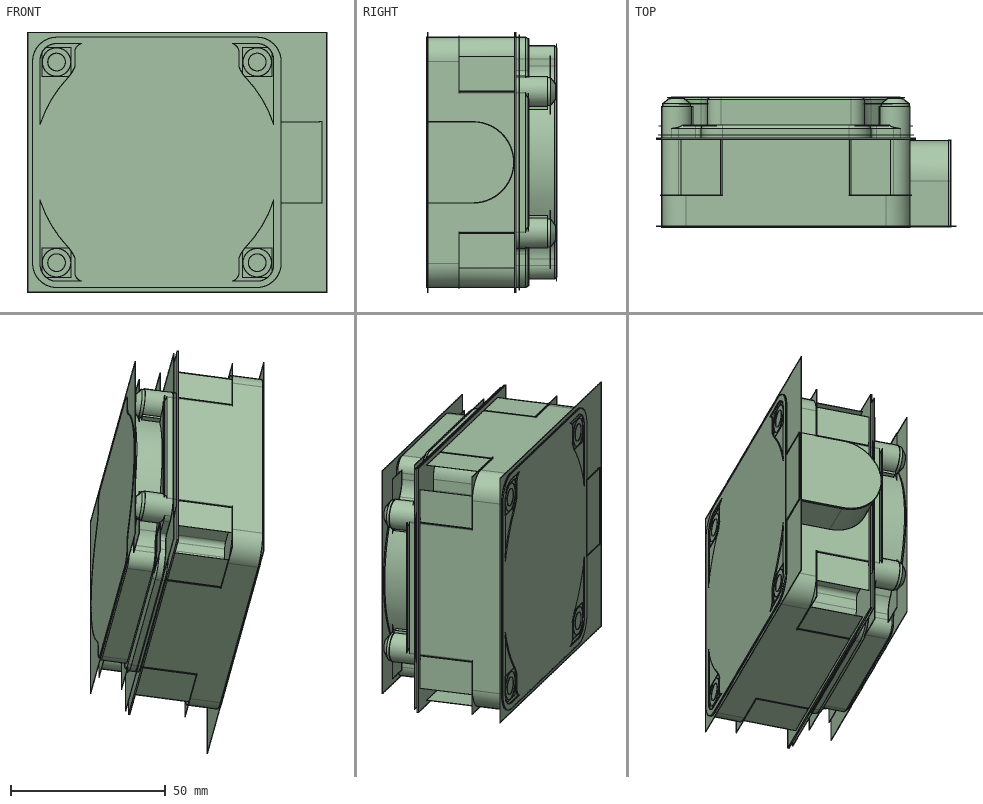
import cadquery as cq
import math


housing_width = 80.4
housing_height = 81.0
half_width = housing_width / 2
half_height = housing_height / 2
front_radius = 7.8
front_depth = 10.5
flange_start = 28.5
flange_end = 29.0

connector_reach = 13.2
connector_width = 26.2
connector_start = 0.2
connector_depth = 28.2
lid_thickness = 0.8
lid_overhang = 0.1

sheet_thickness = 0.1
plate_margin = 1.6
plate_height = 84.1
front_plate_y = 0.4
seal_y = 29.9
seal_size = 82.5
rear_sheet_y = 42.0
rear_sheet_size = 76.7
cap_sheet_y = 40.0
cap_sheet_size = 68.8
core_sheet_y = 32.8
tall_sheet_width = 66.3
tall_sheet_height = 79.4
wide_sheet_width = 82.0
wide_sheet_height = 44.6

pocket_wall_x = 2.4
pocket_wall_z = 2.0
pocket_ring_radius = 39.7
pocket_inner_x = 26.5
pocket_flare_x = 24.4
pocket_flare_z = 36.1
pocket_bend_z = 30.9
pocket_bend_end_x = 28.7
pocket_bend_middle = (27.3, 29.4)
pocket_flare_middle = (25.9, 37.5)
pocket_corner_radius = front_radius - pocket_wall_x

panel_start_x = 20.6
panel_start_z = 22.8
corner_opening = 6.3
panel_thickness = 0.03
corner_plate_overhang = 0.4

pad_offset = 32.45
pad_size = 9.5
ring_diameter = 9.2
ring_hole_diameter = 5.7
pad_step = 0.1

core_end = 33.1
core_half_width = 27.5
core_arm_half_height = 27.9
core_corner_radius = 7.1
core_arm_radius = 5.4
core_inner_radius = 1.7
core_edge_depth = 1.1
core_edge_inset = 0.6

body_end = 42.2
body_radius = 37.8
body_half_width = 25.4
body_corner_radius = 4.4
body_inner_radius = 7.75
body_edge_chamfer = 0.8

post_radius = 4.8
post_setback = 0.2
post_x = half_width - post_radius
post_z = core_arm_half_height - post_radius - post_setback
post_end = 39.1
web_x = 29.3
web_z = 17.1
cap_radius = 4.6
cap_straight_end = 40.1
cap_end = 41.75
cap_top_radius = 2.5

CORNERS = [(1, 1), (-1, 1), (-1, -1), (1, -1)]


def at_depth(y):
    """Workplane facing the front, at depth y; its axes are X and Z."""
    return cq.Workplane("XZ", origin=(0, y, 0))


def slab(width, height, y_start, y_end, centre_x=0, centre_z=0):
    """Rectangular block between two depths."""
    return at_depth(y_start).center(centre_x, centre_z).rect(width, height).extrude(y_start - y_end)


def disc(radius, y_start, y_end, centre_x=0, centre_z=0):
    """Round block between two depths."""
    return at_depth(y_start).center(centre_x, centre_z).circle(radius).extrude(y_start - y_end)


def sheet(width, height, y, centre_x=0):
    return slab(width, height, y, y + sheet_thickness, centre_x)


def in_corner(shape, side_x, side_z):
    """Mirror a shape made for the +X +Z corner into the given corner."""
    if side_x < 0:
        shape = shape.mirror("YZ")
    if side_z < 0:
        shape = shape.mirror("XY")
    return shape


def pocket():
    """Curved recess of the +X +Z corner, lying outside the round fan duct."""
    outer_x = half_width - pocket_wall_x
    outer_z = half_height - pocket_wall_z

    def ring_z(x):
        return math.sqrt(pocket_ring_radius**2 - x**2)

    ring_mid_x = (outer_x + pocket_bend_end_x) / 2
    arc_shift = pocket_corner_radius * (1 - math.sqrt(0.5))
    return (
        at_depth(0)
        .moveTo(outer_x, ring_z(outer_x))
        .threePointArc((ring_mid_x, ring_z(ring_mid_x)), (pocket_bend_end_x, ring_z(pocket_bend_end_x)))
        .threePointArc(pocket_bend_middle, (pocket_inner_x, pocket_bend_z))
        .lineTo(pocket_inner_x, pocket_flare_z)
        .threePointArc(pocket_flare_middle, (pocket_flare_x, outer_z))
        .lineTo(outer_x - pocket_corner_radius, outer_z)
        .threePointArc((outer_x - arc_shift, outer_z - arc_shift), (outer_x, outer_z - pocket_corner_radius))
        .close()
        .extrude(-front_plate_y)
    )


def corner_walls():
    """Thin top and side panels and the plate closing the open +X +Z corner at its front."""
    panel_end_x = half_width - corner_opening
    panel_end_z = half_height - corner_opening
    top_z = half_height - panel_thickness / 2
    side_x = half_width - panel_thickness / 2
    top_length = panel_end_x - panel_start_x
    side_length = panel_end_z - panel_start_z
    top = slab(
        top_length, panel_thickness, front_depth, flange_start, panel_start_x + top_length / 2, top_z
    )
    side = slab(
        panel_thickness, side_length, front_depth, flange_start, side_x, panel_start_z + side_length / 2
    )
    corner_plate_width = half_width + corner_plate_overhang - panel_start_x
    corner_plate_height = half_height + corner_plate_overhang - panel_start_z
    plate = slab(
        corner_plate_width,
        corner_plate_height,
        front_depth,
        front_depth + sheet_thickness,
        panel_start_x + corner_plate_width / 2,
        panel_start_z + corner_plate_height / 2,
    )
    return top.union(side).union(plate)


def ring_pad():
    """Square pad carrying a raised ring, on the front plate."""
    ring_base = front_plate_y - pad_step
    pad = slab(pad_size, pad_size, ring_base, front_plate_y, pad_offset, pad_offset)
    ring = disc(ring_diameter / 2, ring_base - pad_step, ring_base, pad_offset, pad_offset)
    hole = disc(ring_hole_diameter / 2, ring_base - pad_step, ring_base, pad_offset, pad_offset)
    return pad.union(ring.cut(hole))


def screw_post():
    """Round post with a square web towards the rear body and a conical cap."""
    post = disc(post_radius, flange_end, post_end, post_x, post_z)
    web = slab(
        post_x - web_x, post_z - web_z, flange_end, post_end, (post_x + web_x) / 2, (post_z + web_z) / 2
    )
    neck = disc(cap_radius, post_end, cap_straight_end, post_x, post_z)
    cone_length = cap_end - cap_straight_end
    cap = cq.Workplane(
        cq.Solid.makeCone(
            cap_radius,
            cap_top_radius,
            cone_length,
            pnt=cq.Vector(post_x, cap_straight_end, post_z),
            dir=cq.Vector(0, 1, 0),
        )
    )
    return post.union(web).union(neck).union(cap)


def front_block():
    block = slab(housing_width, housing_height, 0, front_depth).edges("|Y").fillet(front_radius)
    for side_x, side_z in CORNERS:
        block = block.cut(in_corner(pocket(), side_x, side_z))
    return block


def inner_edges(half_x, half_z):
    """Selector for the four edges along Y at the given distances from the centre."""
    reach = 0.5
    far_end = body_end + reach
    boxes = [
        cq.selectors.BoxSelector(
            (x * half_x - reach, -reach, z * half_z - reach),
            (x * half_x + reach, far_end, z * half_z + reach),
        )
        for x, z in CORNERS
    ]
    return boxes[0] + boxes[1] + boxes[2] + boxes[3]


def core():
    """Cross-shaped core with rounded corners and chamfered rear edges."""
    upright = slab(2 * core_half_width, housing_height, front_depth, core_end)
    upright = upright.edges("|Y").fillet(core_corner_radius)
    arms = slab(housing_width, 2 * core_arm_half_height, front_depth, core_end)
    arms = arms.edges("|Y").fillet(core_arm_radius)
    cross = upright.union(arms)
    cross = cross.edges(inner_edges(core_half_width, core_arm_half_height)).fillet(core_inner_radius)
    return cross.faces(">Y").edges().chamfer(core_edge_depth, core_edge_inset)


def rear_body():
    """Round fan duct joined with a tall block, with chamfered rear edges."""
    block = slab(2 * body_half_width, 2 * body_radius, flange_end, body_end)
    block = block.edges("|Y").fillet(body_corner_radius)
    duct = disc(body_radius, flange_end, body_end)
    body = block.union(duct)
    meeting_z = math.sqrt(body_radius**2 - body_half_width**2)
    body = body.edges(inner_edges(body_half_width, meeting_z)).fillet(body_inner_radius)
    return body.faces(">Y").edges().chamfer(body_edge_chamfer)


def connector():
    """Box on the +X side whose rear half is round, closed by an end lid."""
    radius = connector_width / 2
    round_start = connector_depth - radius

    def profile(start_x, length, margin):
        edge = radius + margin
        return (
            cq.Workplane("YZ", origin=(start_x, 0, 0))
            .moveTo(connector_start, -edge)
            .lineTo(round_start, -edge)
            .threePointArc((round_start + edge, 0), (round_start, edge))
            .lineTo(connector_start, edge)
            .close()
            .extrude(length)
        )

    lid_x = half_width + connector_reach - lid_thickness
    box = profile(half_width, connector_reach - lid_thickness, 0)
    return box.union(profile(lid_x, lid_thickness, lid_overhang))


plate_width = housing_width + connector_reach + 2 * plate_margin
flange_width = housing_width + 2 * plate_margin
plates = [
    sheet(plate_width, plate_height, front_plate_y, connector_reach / 2),
    slab(flange_width, plate_height, flange_start, flange_end),
    sheet(seal_size, seal_size, seal_y),
    sheet(tall_sheet_width, tall_sheet_height, core_sheet_y),
    sheet(wide_sheet_width, wide_sheet_height, core_sheet_y),
    sheet(cap_sheet_size, cap_sheet_size, cap_sheet_y),
    sheet(rear_sheet_size, rear_sheet_size, rear_sheet_y),
]

result = front_block().union(core()).union(rear_body()).union(connector())
for plate in plates:
    result = result.union(plate)
for side_x, side_z in CORNERS:
    result = result.union(in_corner(corner_walls(), side_x, side_z))
    result = result.union(in_corner(ring_pad(), side_x, side_z))
    result = result.union(in_corner(screw_post(), side_x, side_z))
result = cq.Workplane(result.solids().val())